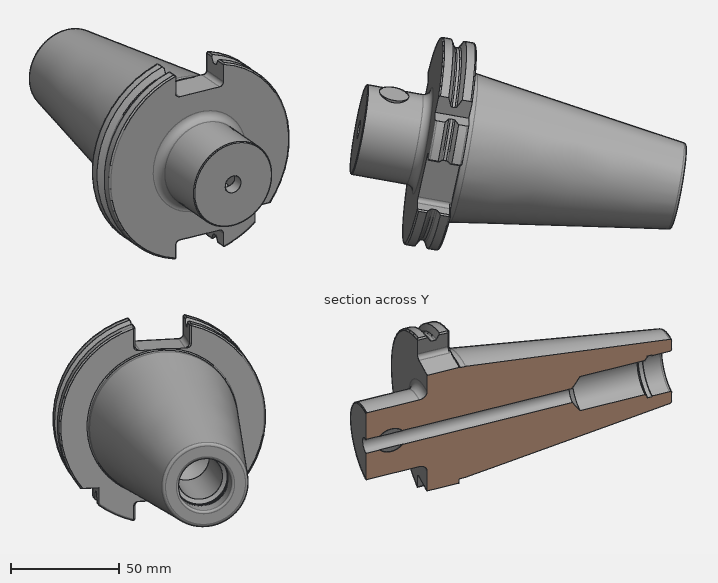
import cadquery as cq
import math

total_length = 150.7
gauge_plane = 101.5
flange_front = 104.7
flange_rear = 120.5

gauge_radius = 35.0
flange_radius = 48.7
nose_radius = 21.1
taper_slope = 7 / 48
small_end_radius = gauge_radius - gauge_plane * taper_slope

small_end_fillet = 1.5
mouth_fillet = 1.2
flange_edge_fillet = 0.8
gauge_fillet = 0.6
nose_fillet = 3.9
nose_end_chamfer = 0.5

groove_center = 112.7
groove_floor_radius = 45.2
groove_floor_half_width = 1.2
groove_floor_fillet = 0.9
groove_wall_angle = math.radians(30)
groove_rim_clearance = 1.5

slot_half_width = 12.8
top_slot_floor = 35.3
bottom_slot_floor = 37.5
slot_corner_fillet = 2.1
slot_edge_chamfer = 0.8
slot_mouth_chamfer = 0.9
notch_offset = 29.8

counterbore_radius = 12.5
relief_radius = 13.0
thread_radius = 10.5
through_radius = 4.2
relief_start = 9.8
counterbore_depth = 12.0
step_length = 1.2
thread_depth = 45.2
drill_point_half_angle = math.radians(59)

screw_center = 138.2
screw_radius = 7.0
screw_tip_height = 5.3


def revolve_about_x(points):
    """Solid of revolution about X from (x, radius) points."""
    return cq.Workplane("XZ").polyline(points).close().revolve(360, (0, 0, 0), (1, 0, 0))


def make_taper():
    """7:24 cone and short gauge cylinder, with a fillet running out onto the flange face."""
    taper = (
        cq.Workplane("XZ")
        .lineTo(0, small_end_radius)
        .lineTo(gauge_plane, gauge_radius)
        .lineTo(flange_front - gauge_fillet, gauge_radius)
        .radiusArc((flange_front, gauge_radius + gauge_fillet), -gauge_fillet)
        .lineTo(flange_front, 0)
        .close()
        .revolve(360, (0, 0, 0), (1, 0, 0))
    )
    return taper.faces("<X").edges().fillet(small_end_fillet)


def make_groove():
    """V-groove cutter: sloped walls blended into a narrow cylindrical floor."""
    rise = flange_radius - groove_floor_radius
    rim_half_width = groove_floor_half_width + rise * math.tan(groove_wall_angle)
    tangent_length = groove_floor_fillet * math.tan((math.pi / 2 - groove_wall_angle) / 2)
    blend_floor = groove_floor_half_width - tangent_length
    blend_wall = groove_floor_half_width + tangent_length * math.sin(groove_wall_angle)
    blend_height = groove_floor_radius + tangent_length * math.cos(groove_wall_angle)
    clear_radius = flange_radius + groove_rim_clearance
    return (
        cq.Workplane("XZ", origin=(groove_center, 0, 0))
        .moveTo(-blend_floor, groove_floor_radius)
        .lineTo(blend_floor, groove_floor_radius)
        .radiusArc((blend_wall, blend_height), -groove_floor_fillet)
        .lineTo(rim_half_width, flange_radius)
        .lineTo(rim_half_width, clear_radius)
        .lineTo(-rim_half_width, clear_radius)
        .lineTo(-rim_half_width, flange_radius)
        .lineTo(-blend_wall, blend_height)
        .radiusArc((-blend_floor, groove_floor_radius), -groove_floor_fillet)
        .close()
        .revolve(360, (0, 0, 0), (1, 0, 0))
    )


def slot_outline(x, half_width, floor_height):
    """Slot section at station x: flat floor, rounded corners, mouth flared at 45 degrees by the rim."""
    floor_half_width = half_width - slot_corner_fillet
    wall_start = floor_height + slot_corner_fillet
    wall_end = math.sqrt(flange_radius**2 - half_width**2) - slot_mouth_chamfer
    flare = flange_radius - wall_end
    return (
        cq.Workplane("YZ", origin=(x, 0, 0))
        .moveTo(-floor_half_width, floor_height)
        .lineTo(floor_half_width, floor_height)
        .radiusArc((half_width, wall_start), -slot_corner_fillet)
        .lineTo(half_width, wall_end)
        .lineTo(half_width + flare, flange_radius)
        .lineTo(-half_width - flare, flange_radius)
        .lineTo(-half_width, wall_end)
        .lineTo(-half_width, wall_start)
        .radiusArc((-floor_half_width, floor_height), -slot_corner_fillet)
        .close()
    )


def make_slot(floor_height):
    """Drive slot cutter on the +Z side, and the flare of its side walls at the front face."""
    slot = slot_outline(flange_front, slot_half_width, floor_height).extrude(flange_rear - flange_front)
    flare = cq.Solid.makeLoft([
        slot_outline(flange_front, slot_half_width + slot_edge_chamfer, floor_height).val(),
        slot_outline(flange_front + slot_edge_chamfer, slot_half_width, floor_height).val(),
    ], True)
    return slot, cq.Workplane(flare)


def make_notch():
    """Orientation notch cutter in the +Y, -Z corner of the flange."""
    width = flange_rear - flange_front
    notch = cq.Workplane("XY").box(width, flange_radius, flange_radius, centered=False)
    return notch.translate((flange_front, notch_offset, -notch_offset - flange_radius))


def make_flange():
    width = flange_rear - flange_front
    flange = cq.Workplane("YZ", origin=(flange_front, 0, 0)).circle(flange_radius).extrude(width)
    flange = flange.edges().fillet(flange_edge_fillet)
    top_slot, top_flare = make_slot(top_slot_floor)
    bottom_slot, bottom_flare = (part.mirror("XY") for part in make_slot(bottom_slot_floor))
    flange = flange.cut(top_slot).cut(bottom_slot)
    flange = flange.cut(top_flare).cut(bottom_flare)
    return flange.cut(make_notch()).cut(make_groove())


def make_nose():
    """Cylindrical nose, filleted into the rear face of the flange."""
    base = flange_rear
    return (
        cq.Workplane("XZ")
        .moveTo(base, 0)
        .lineTo(base, nose_radius + nose_fillet)
        .radiusArc((base + nose_fillet, nose_radius), -nose_fillet)
        .lineTo(total_length - nose_end_chamfer, nose_radius)
        .lineTo(total_length, nose_radius - nose_end_chamfer)
        .lineTo(total_length, 0)
        .close()
        .revolve(360, (0, 0, 0), (1, 0, 0))
    )


def make_bore():
    """Counterbore with relief groove, thread bore, drill point and through hole."""
    drill_end = thread_depth + (thread_radius - through_radius) / math.tan(drill_point_half_angle)
    return revolve_about_x([
        (0, 0),
        (0, counterbore_radius),
        (relief_start, counterbore_radius),
        (relief_start, relief_radius),
        (counterbore_depth, relief_radius),
        (counterbore_depth, counterbore_radius),
        (counterbore_depth + step_length, thread_radius),
        (thread_depth, thread_radius),
        (drill_end, through_radius),
        (total_length, through_radius),
        (total_length, 0),
    ])


def make_screw_shape(start, end):
    """Radial cylinder along +Y at the screw position."""
    cylinder = cq.Solid.makeCylinder(
        screw_radius, end - start, cq.Vector(screw_center, start, 0), cq.Vector(0, 1, 0)
    )
    return cq.Workplane(cylinder)


def make_holder():
    holder = make_taper().union(make_flange()).union(make_nose())
    holder = holder.cut(make_bore())
    mouth_edge = holder.faces("<X").edges(cq.selectors.RadiusNthSelector(0))
    holder = mouth_edge.fillet(mouth_fillet)
    return holder.cut(make_screw_shape(0, flange_radius))


def make_screw():
    return make_screw_shape(screw_tip_height, nose_radius)


holder = make_holder()
screw = make_screw()
result = cq.Compound.makeCompound([holder.val(), screw.val()])